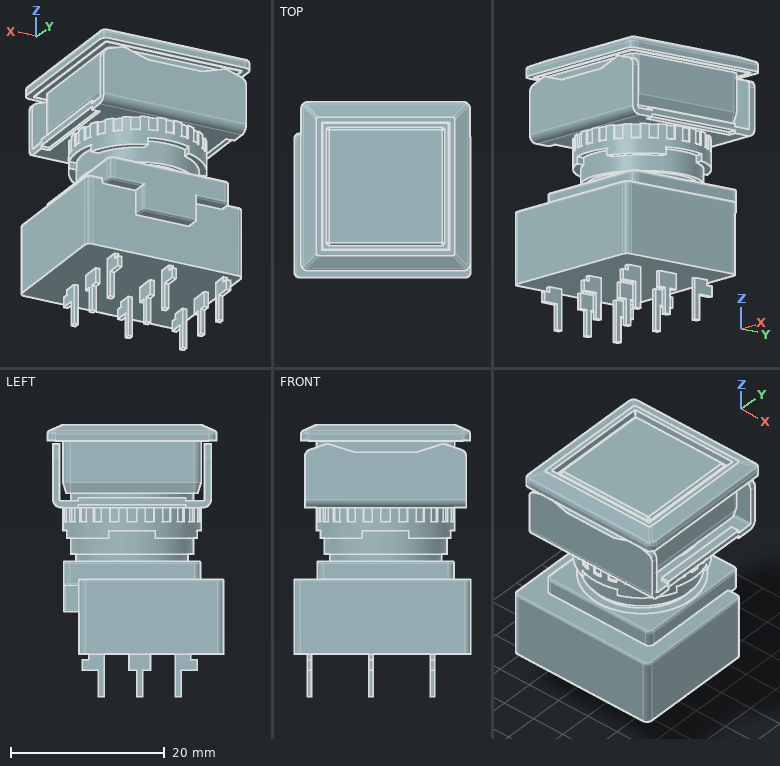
import cadquery as cq
import math


bezel_size = 22.0
bezel_height = 2.1
bezel_flat_size = 18.0
bezel_slope_drop = 0.9
bezel_corner_radius = 1.0
bezel_ridge_radius = 0.75
bezel_edge_radius = 0.5
window_top_size = 16.65
window_floor_size = 16.35
window_depth = 1.0
button_size = 15.4
button_recess = 0.15
button_edge_chamfer = 0.35
button_corner_chamfer = 0.3
gasket_size = 20.0
gasket_thickness = 0.1
shell_size = 18.0
shell_corner_radius = 1.0
shell_straight_bottom = -5.4
shell_bottom = -6.85
shell_taper_inset = 0.45
barrel_diameter = 16.0
barrel_bottom = -14.75
neck_diameter = 14.6
foot_diameter = 17.0
foot_thickness = 1.0

bracket_length = 21.0
bracket_width = 20.6
bracket_thickness = 0.9
bracket_bottom = -8.7
bend_inner_radius = 0.2
bend_outer_radius = bend_inner_radius + bracket_thickness
arm_valley_half_width = 4.0
arm_valley_z = -1.5
arm_peak_x = 7.5
arm_peak_z = -0.4
arm_corner_radius = 1.0
lip_width = 14.0
lip_length = 1.2
lip_offset = 0.4

ring_diameter = 18.0
spanner_notch_top = -11.7
ring_bottom = -12.65
grip_slot_count = 24
grip_slot_width = 1.2
grip_slot_depth = 0.3
grip_slot_height = 1.85
spanner_notch_width = 6.0

block_x = 23.0
block_y = 18.8
block_center_x = -0.4
block_center_y = -2.5
block_top = -18.0
block_bottom = -27.75
block_corner_radius = 0.8
block_edge_radius = 0.2
collar_size = 17.8
collar_top = -15.65
collar_bottom = -18.8
collar_edge_radius = 0.25
lever_width = 8.0
lever_bottom = -22.25
pin_pitch_x = 8.0
pin_pitch_y = 5.0
pin_center_x = -1.9
pin_center_y = -1.0
pin_thickness = 0.6
pin_width = 0.8
pin_tip = -33.3
shoulder_top = -28.45
shoulder_bottom = -29.85
middle_shoulder_width = 2.8
outer_shoulder_reach = 2.5
outer_root_reach = 1.65

edge_band = 0.1


def box(x_size, y_size, z_low, z_high, x=0.0, y=0.0):
    """Box centred on (x, y) between two heights."""
    base = cq.Workplane("XY").workplane(offset=z_low).center(x, y)
    return base.rect(x_size, y_size).extrude(z_high - z_low)


def cylinder(diameter, z_low, z_high):
    """Cylinder on the Z axis between two heights."""
    return cq.Workplane("XY").workplane(offset=z_low).circle(diameter / 2).extrude(z_high - z_low)


def frustum(low_size, z_low, high_size, z_high):
    """Square frustum on the Z axis, with flat sides and sharp corners."""
    height = z_high - z_low
    taper = math.degrees(math.atan2((low_size - high_size) / 2, height))
    base = cq.Workplane("XY").workplane(offset=z_low).rect(low_size, low_size)
    return base.extrude(height, taper=taper)


def make_bezel():
    """Sloped square rim with a recessed window that frames the raised button."""
    slope_start = bezel_height - bezel_slope_drop
    slope_run = (bezel_size - bezel_flat_size) / 2
    pyramid_size = bezel_size + 2 * slope_start * slope_run / bezel_slope_drop
    pyramid = frustum(pyramid_size, 0, bezel_flat_size, bezel_height)
    pyramid = pyramid.edges("not #Z").fillet(bezel_ridge_radius)
    rim = box(bezel_size, bezel_size, 0, bezel_height).edges("|Z").fillet(bezel_corner_radius)
    rim = rim.intersect(pyramid)

    slope_edge = cq.selectors.BoxSelector(
        (-bezel_size, -bezel_size, slope_start - edge_band),
        (bezel_size, bezel_size, slope_start + edge_band),
    )
    rim = rim.edges(slope_edge).fillet(bezel_edge_radius)

    window_floor = bezel_height - window_depth
    window_draft = math.degrees(math.atan2((window_top_size - window_floor_size) / 2, window_depth))
    window = cq.Workplane("XY").workplane(offset=window_floor).rect(window_floor_size, window_floor_size)
    rim = rim.cut(window.extrude(window_depth, taper=-window_draft))

    button_top = bezel_height - button_recess
    button = box(button_size, button_size, window_floor, button_top)
    button = button.edges("|Z").chamfer(button_corner_chamfer)
    button = button.faces(">Z").chamfer(button_edge_chamfer)
    return rim.union(button)


def make_operator():
    """Bezel on a square shell that tapers into a round barrel with a wider foot."""
    gasket = box(gasket_size, gasket_size, -gasket_thickness, 0)
    shell = box(shell_size, shell_size, shell_straight_bottom, 0).edges("|Z").fillet(shell_corner_radius)
    taper_height = shell_straight_bottom - shell_bottom
    taper_angle = math.degrees(math.atan2(shell_taper_inset, taper_height))
    lower_face = shell.faces("<Z").workplane().sketch().rect(shell_size, shell_size)
    lower_outline = lower_face.vertices().fillet(shell_corner_radius).finalize()
    taper = lower_outline.extrude(taper_height, combine=False, taper=taper_angle)
    barrel = cylinder(barrel_diameter, barrel_bottom, shell_bottom)
    neck = cylinder(neck_diameter, collar_top, barrel_bottom)
    foot = cylinder(foot_diameter, collar_top - foot_thickness, collar_top)
    operator = make_bezel()
    for piece in (gasket, shell, taper, barrel, neck, foot):
        operator = operator.union(piece)
    return operator


def make_bracket():
    """U-shaped sheet bracket with shaped arm ends, two offset lips and a bore for the barrel."""
    channel = box(bracket_length, bracket_width, bracket_bottom, arm_peak_z)
    channel = channel.edges("|X and <Z").fillet(bend_outer_radius)
    inside_bottom = bracket_bottom + bracket_thickness
    inside_width = bracket_width - 2 * bracket_thickness
    inside = box(bracket_length, inside_width, inside_bottom, arm_peak_z)
    channel = channel.cut(inside.edges("|X and <Z").fillet(bend_inner_radius))

    half_length = bracket_length / 2
    arm_end_slope = (arm_peak_z - arm_valley_z) / (arm_peak_x - arm_valley_half_width)
    arm_end_z = arm_peak_z - arm_end_slope * (half_length - arm_peak_x)
    arm_outline = (
        cq.Workplane("XZ")
        .moveTo(-half_length, bracket_bottom)
        .lineTo(-half_length, arm_end_z)
        .lineTo(-arm_peak_x, arm_peak_z)
        .lineTo(-arm_valley_half_width, arm_valley_z)
        .lineTo(arm_valley_half_width, arm_valley_z)
        .lineTo(arm_peak_x, arm_peak_z)
        .lineTo(half_length, arm_end_z)
        .lineTo(half_length, bracket_bottom)
        .close()
        .extrude(bracket_width / 2, both=True)
    )
    end_corners = cq.selectors.BoxSelector(
        (-half_length - edge_band, -edge_band, arm_end_z - edge_band),
        (half_length + edge_band, edge_band, arm_end_z + edge_band),
    )
    bracket = channel.intersect(arm_outline.edges(end_corners).fillet(arm_corner_radius))

    for side in (-1, 1):
        lip_x = side * (half_length - lip_length / 2)
        lip = box(lip_length, lip_width, inside_bottom, inside_bottom + lip_offset, lip_x)
        relief = box(lip_length, lip_width, bracket_bottom, bracket_bottom + lip_offset, lip_x)
        bracket = bracket.union(lip).cut(relief)
    return bracket.cut(cylinder(barrel_diameter, bracket_bottom, inside_bottom))


def make_lock_ring():
    """Ring on the barrel with grip slots around its top and four spanner notches below."""
    ring = cylinder(ring_diameter, ring_bottom, bracket_bottom)
    slot_bottom = bracket_bottom - grip_slot_height
    slot_center = ring_diameter / 2
    slot = box(2 * grip_slot_depth, grip_slot_width, slot_bottom, bracket_bottom, slot_center)
    for index in range(grip_slot_count):
        ring = ring.cut(slot.rotate((0, 0, 0), (0, 0, 1), index * 360 / grip_slot_count))
    ring = ring.cut(box(ring_diameter, spanner_notch_width, ring_bottom, spanner_notch_top))
    ring = ring.cut(box(spanner_notch_width, ring_diameter, ring_bottom, spanner_notch_top))
    return ring.cut(cylinder(barrel_diameter, ring_bottom, bracket_bottom))


def make_pin(row):
    """Flat terminal pin of one row: -1 and 1 are the outer rows, 0 the middle one."""
    half = pin_width / 2
    pin = box(pin_thickness, pin_width, pin_tip, block_bottom)
    if row == 0:
        return pin.union(box(pin_thickness, middle_shoulder_width, shoulder_bottom, block_bottom))
    root_size = outer_root_reach + half
    shoulder_size = outer_shoulder_reach + half
    root_y = row * (root_size / 2 - half)
    shoulder_y = row * (shoulder_size / 2 - half)
    root = box(pin_thickness, root_size, shoulder_bottom, block_bottom, 0, root_y)
    shoulder = box(pin_thickness, shoulder_size, shoulder_bottom, shoulder_top, 0, shoulder_y)
    return pin.union(root).union(shoulder)


def make_contact_block():
    """Offset block with a square collar above, a lever behind and nine pins below."""
    block = box(block_x, block_y, block_bottom, block_top, block_center_x, block_center_y)
    block = block.edges("|Z").fillet(block_corner_radius)
    block = block.faces(">Z").edges().fillet(block_edge_radius)

    collar = box(collar_size, collar_size, collar_bottom, collar_top)
    collar = collar.edges("|Z").fillet(block_corner_radius)
    collar = collar.faces("<Z or >Z").edges().fillet(collar_edge_radius)

    lever_back = collar_size / 2
    lever_top = collar_bottom + collar_edge_radius
    lever = box(lever_width, lever_back, lever_bottom, lever_top, 0, lever_back / 2)
    lever = lever.edges("<Z or (>Y and |Z)").fillet(collar_edge_radius)

    block = block.union(collar).union(lever)
    for column in (-1, 0, 1):
        for row in (-1, 0, 1):
            x = pin_center_x + column * pin_pitch_x
            y = pin_center_y + row * pin_pitch_y
            block = block.union(make_pin(row).translate((x, y, 0)))
    return block.cut(cylinder(foot_diameter, collar_top - foot_thickness, collar_top))


operator = make_operator()
bracket = make_bracket()
lock_ring = make_lock_ring()
contact_block = make_contact_block()
bodies = (operator, bracket, lock_ring, contact_block)
result = cq.Compound.makeCompound([body.solids().val() for body in bodies])